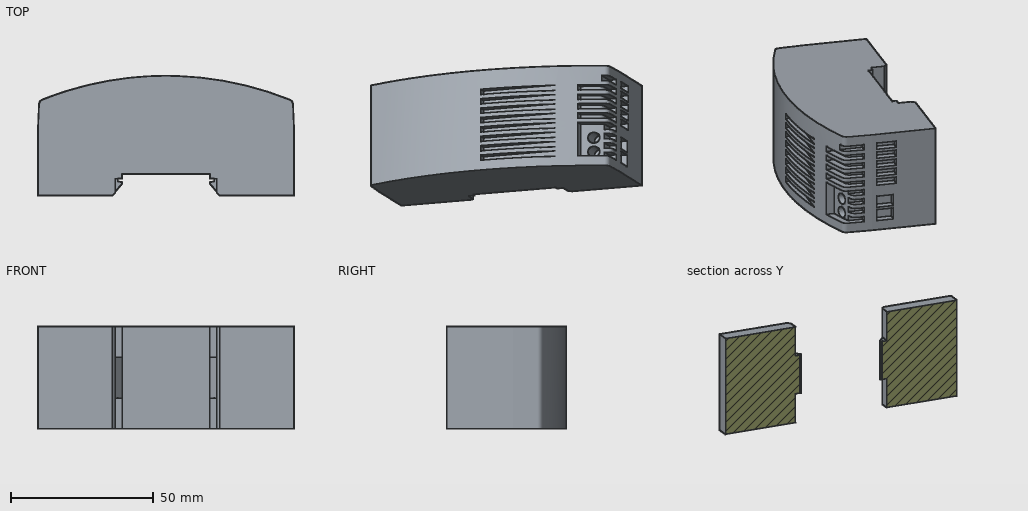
import cadquery as cq

length = 90.0
depth = 42.1
height = 36.0
half_length = length / 2
back_y = -depth / 2
crest_y = depth / 2

cover_radius = 116.55
taper_start_y = 2.25
cover_taper = 0.8
corner_radius = 2.0
skin = 2.8

notch_half_width = 15.4
notch_depth = 7.6
groove_half_width = 17.7
groove_depth = 5.9
lead_in = 1.1

hook_length = 14.4
hook_root = 0.8
hook_shoulder = 5.0
hook_tip_top = 4.8
hook_tip_bottom = 4.1
hook_foot = 1.4

row_count = 9
row_span = 27.1
row_height = 1.9
row_pitch = row_span / (row_count - 1)
row_z = [row_span / 2 - i * row_pitch for i in range(row_count)]
top_row = row_z[0]
rim_rows = row_z[1:5]
pocket_rows = row_z[5:]

side_slot_floor_x = -42.3
side_slot_low_y = 4.95
rim_end_x = -34.4
vent_floor_y = 18.0
vent_end_x = 0.0

opening_top_y = 0.4
opening_depth = 3.0
label_width = 7.1
label_height = 2.3
label_rows = 5
terminal_width = 6.0
terminal_height = 4.1
terminal_z = (-7.4, -12.4)

screw_x = -38.8
screw_diameter = 3.9
screw_floor_y = 5.4


def box(x_min, x_max, y_min, y_max, z_mid, z_size):
    """Block between the given X and Y limits, centred on z_mid."""
    return (
        cq.Workplane("XY", origin=(0, 0, z_mid - z_size / 2))
        .moveTo(x_min, y_min)
        .lineTo(x_max, y_min)
        .lineTo(x_max, y_max)
        .lineTo(x_min, y_max)
        .close()
        .extrude(z_size)
    )


def domed_block(inset_side, inset_top):
    """Full-height block with the cover's arc and rounded corners, moved inwards."""
    crest = crest_y - inset_top
    radius = cover_radius - inset_top
    base_x = half_length - inset_side
    top_x = base_x - cover_taper
    tapered_block = (
        cq.Workplane("XY", origin=(0, 0, -height / 2))
        .moveTo(-base_x, back_y)
        .lineTo(base_x, back_y)
        .lineTo(base_x, taper_start_y)
        .lineTo(top_x, crest_y)
        .lineTo(-top_x, crest_y)
        .lineTo(-base_x, taper_start_y)
        .close()
        .extrude(height)
    )
    dome = (
        cq.Workplane("XY", origin=(0, crest - radius, -height / 2))
        .circle(radius)
        .extrude(height)
    )
    rim_zone = cq.selectors.BoxSelector(
        (-length, taper_start_y + corner_radius, -height),
        (length, crest_y, height),
    )
    return tapered_block.intersect(dome).edges("|Z").edges(rim_zone).fillet(corner_radius)


def rail_notch():
    """Stepped notch along Z with chamfered mouth corners."""
    mouth = groove_half_width + lead_in
    half = [
        (mouth, back_y),
        (groove_half_width, back_y + lead_in),
        (groove_half_width, back_y + groove_depth),
        (notch_half_width, back_y + groove_depth),
        (notch_half_width, back_y + notch_depth),
    ]
    mirrored = [(-x, y) for x, y in reversed(half)]
    return (
        cq.Workplane("XY", origin=(0, 0, -height / 2))
        .polyline(half + mirrored)
        .close()
        .extrude(height)
    )


def snap_hook(side):
    """Hook on one groove wall; side is +1 or -1 along X."""
    outline = [
        (groove_half_width, groove_depth),
        (groove_half_width - hook_root, groove_depth),
        (groove_half_width - hook_root, hook_shoulder),
        (notch_half_width, hook_tip_top),
        (notch_half_width, hook_tip_bottom),
        (groove_half_width, hook_foot),
    ]
    return (
        cq.Workplane("XY", origin=(0, 0, -hook_length / 2))
        .polyline([(side * x, back_y + y) for x, y in outline])
        .close()
        .extrude(hook_length)
    )


def rim_cut(z_mid, z_size, core):
    """Cutter that removes everything outside the core along the -X rim of the cover."""
    return box(-half_length, rim_end_x, side_slot_low_y, crest_y, z_mid, z_size).cut(core)


body = domed_block(0, 0).cut(rail_notch())
for hook_side in (-1, 1):
    body = body.union(snap_hook(hook_side))

pocket_z = (pocket_rows[0] + pocket_rows[-1]) / 2
pocket_height = pocket_rows[0] - pocket_rows[-1] + row_height
lowered_core = domed_block(0, skin)
body = body.cut(rim_cut(pocket_z, pocket_height, lowered_core))

full_core = domed_block(skin, skin)
for z in rim_rows:
    body = body.cut(rim_cut(z, row_height, full_core))

for z in [top_row] + pocket_rows:
    body = body.cut(box(-half_length, side_slot_floor_x, side_slot_low_y, crest_y, z, row_height))

for z in rim_rows + pocket_rows:
    body = body.cut(box(-half_length, vent_end_x, vent_floor_y, crest_y, z, row_height))

opening_floor_x = -half_length + opening_depth
for z in row_z[:label_rows]:
    low_y = opening_top_y - label_width
    body = body.cut(box(-half_length, opening_floor_x, low_y, opening_top_y, z, label_height))

for z in terminal_z:
    low_y = opening_top_y - terminal_width
    body = body.cut(box(-half_length, opening_floor_x, low_y, opening_top_y, z, terminal_height))
    screw_hole = (
        cq.Workplane("XZ", origin=(screw_x, crest_y, z))
        .circle(screw_diameter / 2)
        .extrude(crest_y - screw_floor_y)
    )
    body = body.cut(screw_hole)

result = body